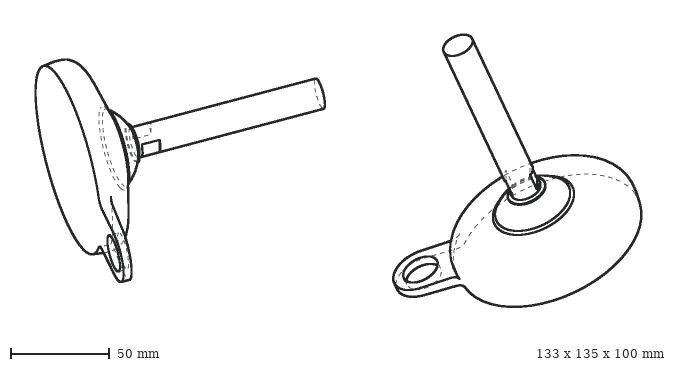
import cadquery as cq
import math

TOTAL_LENGTH = 135.0
TOTAL_WIDTH = 133.0

RIM_DIAMETER = 100.0
RIM_RADIUS = RIM_DIAMETER / 2
BOTTOM_RADIUS = 49.3
TAPER_HEIGHT = 6.3
RIM_HEIGHT = 9.2
SHOULDER_RADIUS = 7.5
SHOULDER_ANGLE = 71.0
NECK_RADIUS = 21.9
SEAT_RADIUS = 20.2
SEAT_HEIGHT = 25.5

LUG_RADIUS = 15.0
LUG_REACH = TOTAL_WIDTH - RIM_RADIUS - LUG_RADIUS
EYE_RADIUS = 9.5
LUG_ROOT_HEIGHT = 6.0
LUG_TIP_HEIGHT = 4.3
LUG_ROOT_FILLET = 5.0
EDGE_SEARCH_MARGIN = 1.4

DOME_CENTER = 11.3
DOME_TOP = 34.2
COLLAR_RADIUS = 10.1
COLLAR_TOP = 34.7
SHAFT_START = 35.5
SHAFT_RADIUS = 8.0
FLAT_WIDTH = 13.0
FLAT_START = 37.1
FLAT_LENGTH = 9.6


def make_lug():
    """Tongue with a rounded end and an eye, thinning towards its tip."""
    tip = LUG_REACH + LUG_RADIUS
    slope = (LUG_ROOT_HEIGHT - LUG_TIP_HEIGHT) / (tip - RIM_RADIUS)
    axis_height = LUG_ROOT_HEIGHT + slope * RIM_RADIUS
    wedge = (
        cq.Workplane("XY")
        .polyline([(0, 0), (tip, 0), (tip, LUG_TIP_HEIGHT), (0, axis_height)])
        .close()
        .extrude(LUG_RADIUS, both=True)
    )
    outline = (
        cq.Workplane("XZ")
        .moveTo(0, -LUG_RADIUS)
        .lineTo(LUG_REACH, -LUG_RADIUS)
        .threePointArc((tip, 0), (LUG_REACH, LUG_RADIUS))
        .lineTo(0, LUG_RADIUS)
        .close()
        .moveTo(LUG_REACH, 0)
        .circle(EYE_RADIUS)
        .extrude(-axis_height)
    )
    return wedge.intersect(outline)


def make_base():
    """Turned foot with a round shoulder and a conical top, joined to the lug."""
    shoulder_center = RIM_RADIUS - SHOULDER_RADIUS

    def shoulder_point(degrees):
        angle = math.radians(degrees)
        return (
            shoulder_center + SHOULDER_RADIUS * math.cos(angle),
            RIM_HEIGHT + SHOULDER_RADIUS * math.sin(angle),
        )

    cone_radius, cone_height = shoulder_point(SHOULDER_ANGLE)
    cone_slope = 1 / math.tan(math.radians(SHOULDER_ANGLE))
    neck_height = cone_height + cone_slope * (cone_radius - NECK_RADIUS)
    foot = (
        cq.Workplane("XY")
        .lineTo(BOTTOM_RADIUS, 0)
        .lineTo(RIM_RADIUS, TAPER_HEIGHT)
        .lineTo(RIM_RADIUS, RIM_HEIGHT)
        .threePointArc(shoulder_point(SHOULDER_ANGLE / 2), (cone_radius, cone_height))
        .lineTo(NECK_RADIUS, neck_height)
        .lineTo(SEAT_RADIUS, SEAT_HEIGHT)
        .lineTo(0, SEAT_HEIGHT)
        .close()
        .revolve(360, (0, 0, 0), (0, 1, 0))
    )
    root_x = math.sqrt(BOTTOM_RADIUS**2 - LUG_RADIUS**2)
    root_edges = cq.selectors.BoxSelector(
        (root_x - EDGE_SEARCH_MARGIN, 0, -LUG_RADIUS - EDGE_SEARCH_MARGIN),
        (root_x + EDGE_SEARCH_MARGIN, LUG_ROOT_HEIGHT, LUG_RADIUS + EDGE_SEARCH_MARGIN),
    )
    return foot.union(make_lug()).edges(root_edges).fillet(LUG_ROOT_FILLET)


def make_stud():
    """Spherical dome, collar and shaft turned in one piece, with two wrench flats."""
    sphere_radius = math.hypot(SEAT_RADIUS, SEAT_HEIGHT - DOME_CENTER)

    def dome_radius(height):
        return math.sqrt(sphere_radius**2 - (height - DOME_CENTER) ** 2)

    dome_middle = (SEAT_HEIGHT + DOME_TOP) / 2
    stud = (
        cq.Workplane("XY")
        .moveTo(0, SEAT_HEIGHT)
        .lineTo(SEAT_RADIUS, SEAT_HEIGHT)
        .threePointArc((dome_radius(dome_middle), dome_middle), (dome_radius(DOME_TOP), DOME_TOP))
        .lineTo(COLLAR_RADIUS, DOME_TOP)
        .lineTo(COLLAR_RADIUS, COLLAR_TOP)
        .lineTo(SHAFT_RADIUS, SHAFT_START)
        .lineTo(SHAFT_RADIUS, TOTAL_LENGTH)
        .lineTo(0, TOTAL_LENGTH)
        .close()
        .revolve(360, (0, 0, 0), (0, 1, 0))
    )
    flat_depth = SHAFT_RADIUS - FLAT_WIDTH / 2
    for side in (-1, 1):
        cutter = cq.Workplane("XY").box(flat_depth, FLAT_LENGTH, 2 * SHAFT_RADIUS)
        flat_x = side * (FLAT_WIDTH + flat_depth) / 2
        stud = stud.cut(cutter.translate((flat_x, FLAT_START + FLAT_LENGTH / 2, 0)))
    return stud


base = make_base()
stud = make_stud()

result = cq.Compound.makeCompound([base.val(), stud.val()])